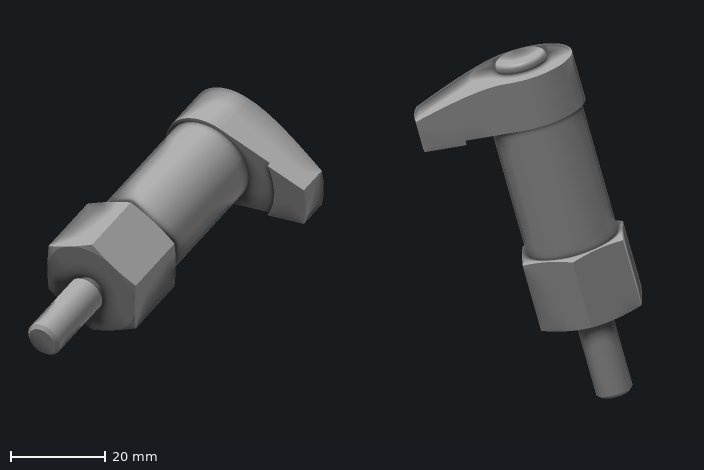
import cadquery as cq
import math


stud_diameter = 8.0
stud_length = 19.0
stud_tip_chamfer = 0.75
neck_diameter = 6.0
neck_length = 1.2
neck_shoulder = 0.6

hex_sides = 6
hex_across_flats = 22.0
hex_length = 16.0
hex_chamfer_angle = 15.0

barrel_diameter = 20.0
barrel_length = 30.0

head_radius = 11.0
head_height = 11.0
lever_reach = 25.0
lever_end_width = 10.0
slope_start_radius = 11.2
slope_drop = 5.0
lip_inner_radius = 17.0
lip_depth = 1.0

button_diameter = 11.0
button_height = 2.0
button_edge_radius = 1.0

hex_back = hex_length
head_front = hex_back + barrel_length
head_back = head_front + head_height
button_back = head_back + button_height


def turned(profile):
    """Solid of revolution about Y from (radius, y) points."""
    return cq.Workplane("XY").polyline(profile).close().revolve(360, (0, 0, 0), (0, 1, 0))


def disc(radius, start, end):
    return turned([(0, start), (radius, start), (radius, end), (0, end)])


def make_stud():
    radius = stud_diameter / 2
    neck_radius = neck_diameter / 2
    shoulder_end = -neck_length - neck_shoulder
    return turned([
        (0, 0),
        (neck_radius, 0),
        (neck_radius, -neck_length),
        (radius, shoulder_end),
        (radius, -stud_length + stud_tip_chamfer),
        (radius - stud_tip_chamfer, -stud_length),
        (0, -stud_length),
    ])


def make_hexagon():
    """Hexagon with flats facing +X and -X, its corners cut by a cone at both ends."""
    half_side_angle = 180 / hex_sides
    face_radius = hex_across_flats / 2
    corner_radius = face_radius / math.cos(math.radians(half_side_angle))
    chamfer = (corner_radius - face_radius) * math.tan(math.radians(hex_chamfer_angle))
    corners = []
    for index in range(hex_sides):
        angle = math.radians(half_side_angle * (2 * index + 1))
        corners.append((corner_radius * math.cos(angle), corner_radius * math.sin(angle)))
    prism = cq.Workplane("XZ").polyline(corners).close().extrude(-hex_length)
    envelope = turned([
        (0, 0),
        (face_radius, 0),
        (corner_radius, chamfer),
        (corner_radius, hex_back - chamfer),
        (face_radius, hex_back),
        (0, hex_back),
    ])
    return prism.intersect(envelope)


def make_head():
    """Round head with a tapering lever towards +X and a lip under the lever's end."""
    end_z = lever_end_width / 2
    end_x = math.sqrt(lever_reach**2 - end_z**2)
    tangent_angle = math.asin(end_z / lever_reach) + math.acos(head_radius / lever_reach)
    tangent_x = head_radius * math.cos(tangent_angle)
    tangent_z = head_radius * math.sin(tangent_angle)
    outline = (
        cq.Workplane("XZ", origin=(0, head_front - lip_depth, 0))
        .moveTo(tangent_x, tangent_z)
        .lineTo(end_x, end_z)
        .threePointArc((lever_reach, 0), (end_x, -end_z))
        .lineTo(tangent_x, -tangent_z)
        .threePointArc((-head_radius, 0), (tangent_x, tangent_z))
        .close()
        .extrude(-(head_height + lip_depth))
    )
    relief = disc(lip_inner_radius, head_front - lip_depth, head_front)
    slope_run = lever_reach - slope_start_radius
    cone_height = head_height + lip_depth
    cone_base_radius = slope_start_radius + cone_height * slope_run / slope_drop
    envelope = turned([
        (0, head_front - lip_depth),
        (cone_base_radius, head_front - lip_depth),
        (slope_start_radius, head_back),
        (0, head_back),
    ])
    return outline.intersect(envelope).cut(relief)


def make_button():
    """Disc with a rounded rim on its free face."""
    return disc(button_diameter / 2, head_back, button_back).faces(">Y").edges().fillet(button_edge_radius)


barrel = disc(barrel_diameter / 2, hex_back, head_front)

result = make_hexagon().union(make_stud()).union(barrel).union(make_head()).union(make_button())